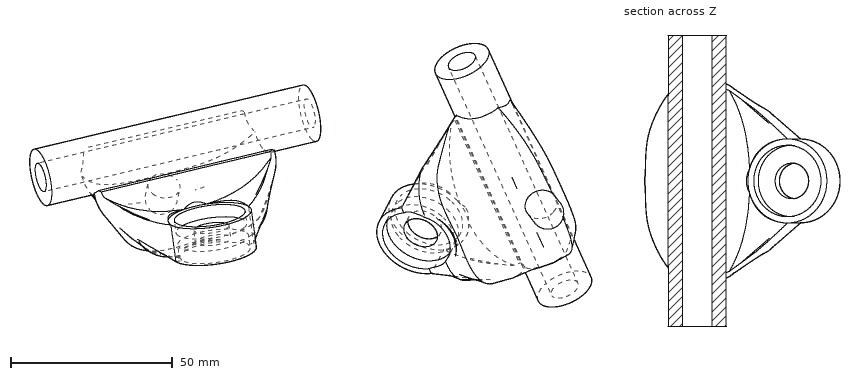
import cadquery as cq
import math

TUBE_LENGTH = 90.0
TUBE_DIAMETER = 18.0
TUBE_BORE = 9.0

TILT = 20.0
RING_DIAMETER = 26.0
RING_HEIGHT = 12.0
RING_TOP_X = 27.9
RING_TOP_Z = -8.4
SEAT_DIAMETER = 22.1
SEAT_DEPTH = 4.0
RING_HOLE = 11.0

PIN_DIAMETER = 10.0
PIN_BALL_X = -11.35
PIN_BALL_Z = -27.43
PIN_LENGTH = 12.0

FRONT_U = [(0.9, 0.28), (0.66, 0.7), (0.46, 0.91), (0.0, 1.0)]
ROUND_U = [(0.85, 0.51), (0.61, 0.85), (0.32, 0.97), (0.0, 1.0)]
FLAT_U = [(0.98, 0.3), (0.87, 0.56), (0.72, 0.86), (0.53, 0.985), (0.0, 1.0)]
ARM_U = [(0.86, 0.84), (0.67, 0.99), (0.0, 1.0)]
WEB_HALF_WIDTH = 30.0
NOSE_HALF_WIDTH = 27.2
ARM_HALF_WIDTH = 21.7
SIDE_STEP = 0.8
ARM_SIDE = 9.6

NOSE_SECTION = ((-8.7, 0.9), (-16.4, -16.2), NOSE_HALF_WIDTH, SIDE_STEP, FRONT_U)
WEB_SECTIONS = [
    NOSE_SECTION,
    ((-4.5, -4.0), (-13.7, -20.5), WEB_HALF_WIDTH, SIDE_STEP, ROUND_U),
    ((-2.0, -6.0), (-4.5, -22.5), WEB_HALF_WIDTH, SIDE_STEP, ROUND_U),
    ((2.0, -6.5), (0.0, -22.0), WEB_HALF_WIDTH, SIDE_STEP, ROUND_U),
    ((3.0, -6.0), (9.0, -22.6), WEB_HALF_WIDTH, SIDE_STEP, ROUND_U),
    ((6.6, -3.7), (18.7, -24.0), WEB_HALF_WIDTH, SIDE_STEP, FLAT_U),
    ((17.6, -6.8), (25.4, -21.9), ARM_HALF_WIDTH, ARM_SIDE, ARM_U),
]
NOSE_FILLET = 2.5

TROUGH_END_DEPTH = 0.5
TROUGH_SECTIONS = [
    (8.0, 30.0, -4.5, -15.4),
    (16.0, 23.2, -7.7, -12.9),
    (22.0, 18.0, -8.9, -10.3),
    (RING_TOP_X, RING_DIAMETER / 2, RING_TOP_Z, RING_TOP_Z - TROUGH_END_DEPTH),
]
TROUGH_REACH = 40.0
TROUGH_TOP = 0.0
SLOPE_TOP = (8.0, -3.5)
SLOPE_FOOT = (16.4, -12.9)
RING_CLEARANCE = 20.0

ALONG = (math.cos(math.radians(TILT)), math.sin(math.radians(TILT)))


def section_plane(root, tip):
    """Plane holding a section: local x runs along Y, local y from root to tip."""
    down = cq.Vector(tip[0] - root[0], 0, tip[1] - root[1])
    normal = cq.Vector(0, 1, 0).cross(down)
    return cq.Plane(origin=(root[0], 0, root[1]), xDir=(0, 1, 0), normal=normal)


def web_section(root, tip, half_width, side, outline):
    """Closed wire: chord at the root, straight sides and a U-shaped curve."""
    plane = section_plane(root, tip)
    depth = math.dist(root, tip)
    right_half = [(half_width * across, depth * down) for across, down in outline]
    left_half = [(-y, down) for y, down in reversed(right_half[:-1])]
    u_points = right_half + left_half + [(-half_width, side)]
    sketch = cq.Workplane(plane).moveTo(-half_width, 0).lineTo(half_width, 0).lineTo(half_width, side)
    return sketch.spline(u_points, includeCurrent=True).close().val()


def ring_plane():
    """Plane on the ring's top face, normal along the ring axis."""
    return cq.Plane(
        origin=(RING_TOP_X, 0, RING_TOP_Z),
        xDir=(ALONG[0], 0, ALONG[1]),
        normal=(-ALONG[1], 0, ALONG[0]),
    )


def ring_section():
    """Rectangle across the ring through its axis, where the arm ends."""
    ring_bottom = (RING_TOP_X + RING_HEIGHT * ALONG[1], RING_TOP_Z - RING_HEIGHT * ALONG[0])
    plane = section_plane((RING_TOP_X, RING_TOP_Z), ring_bottom)
    radius = RING_DIAMETER / 2
    rectangle = cq.Workplane(plane).moveTo(-radius, 0).lineTo(radius, 0).lineTo(radius, RING_HEIGHT)
    return rectangle.lineTo(-radius, RING_HEIGHT).close().val()


def trough_section(x, half_width, ridge_z, floor_z):
    """Closed wire across the arm: an arc between the ridges, open space above."""
    plane = cq.Plane(origin=(x, 0, 0), xDir=(0, 1, 0), normal=(1, 0, 0))
    return (
        cq.Workplane(plane)
        .moveTo(-TROUGH_REACH, TROUGH_TOP)
        .lineTo(-TROUGH_REACH, ridge_z)
        .lineTo(-half_width, ridge_z)
        .threePointArc((0, floor_z), (half_width, ridge_z))
        .lineTo(TROUGH_REACH, ridge_z)
        .lineTo(TROUGH_REACH, TROUGH_TOP)
        .close()
        .val()
    )


def make_trough():
    sections = [trough_section(*section) for section in TROUGH_SECTIONS]
    trough = cq.Workplane(cq.Solid.makeLoft(sections, False))
    run = SLOPE_FOOT[0] - SLOPE_TOP[0]
    fall = SLOPE_FOOT[1] - SLOPE_TOP[1]
    wedge_end = (SLOPE_FOOT[0] + run, SLOPE_FOOT[1] + fall)
    wedge_back = SLOPE_TOP[0] - run
    below_slope = (
        cq.Workplane("XZ")
        .moveTo(*SLOPE_TOP)
        .lineTo(*wedge_end)
        .lineTo(wedge_back, wedge_end[1])
        .lineTo(wedge_back, SLOPE_TOP[1])
        .close()
        .extrude(TUBE_LENGTH / 2, both=True)
    )
    return trough.cut(below_slope)


def make_web():
    sections = [web_section(*section) for section in WEB_SECTIONS] + [ring_section()]
    web = cq.Workplane(cq.Solid.makeLoft(sections, True))
    web = web.edges("%BSPLINE").edges("<X").fillet(NOSE_FILLET)
    web = web.cut(make_trough())
    return web.cut(ring_cylinder(RING_DIAMETER, -RING_CLEARANCE, 0))


def make_pin():
    plane = cq.Plane(origin=(PIN_BALL_X, 0, PIN_BALL_Z), xDir=(0, 1, 0), normal=(ALONG[1], 0, ALONG[0]))
    shank = cq.Workplane(plane).circle(PIN_DIAMETER / 2).extrude(PIN_LENGTH)
    return shank.union(cq.Workplane(plane).sphere(PIN_DIAMETER / 2))


def cylinder_along_y(diameter):
    return cq.Workplane("XZ").circle(diameter / 2).extrude(TUBE_LENGTH / 2, both=True)


def ring_cylinder(diameter, top_depth, bottom_depth):
    """Cylinder on the ring axis between two depths below the ring's top face."""
    start = cq.Workplane(ring_plane()).workplane(offset=-bottom_depth)
    return start.circle(diameter / 2).extrude(bottom_depth - top_depth)


def cut_bearing_bores(body):
    through = RING_HEIGHT + RING_CLEARANCE
    body = body.cut(ring_cylinder(RING_HOLE, 0, through))
    body = body.cut(ring_cylinder(SEAT_DIAMETER, 0, SEAT_DEPTH))
    return body.cut(ring_cylinder(SEAT_DIAMETER, RING_HEIGHT - SEAT_DEPTH, through))


ring = cut_bearing_bores(ring_cylinder(RING_DIAMETER, 0, RING_HEIGHT))
web = cut_bearing_bores(make_web())
result = web.union(ring).union(cylinder_along_y(TUBE_DIAMETER)).union(make_pin())
result = result.cut(cylinder_along_y(TUBE_BORE))